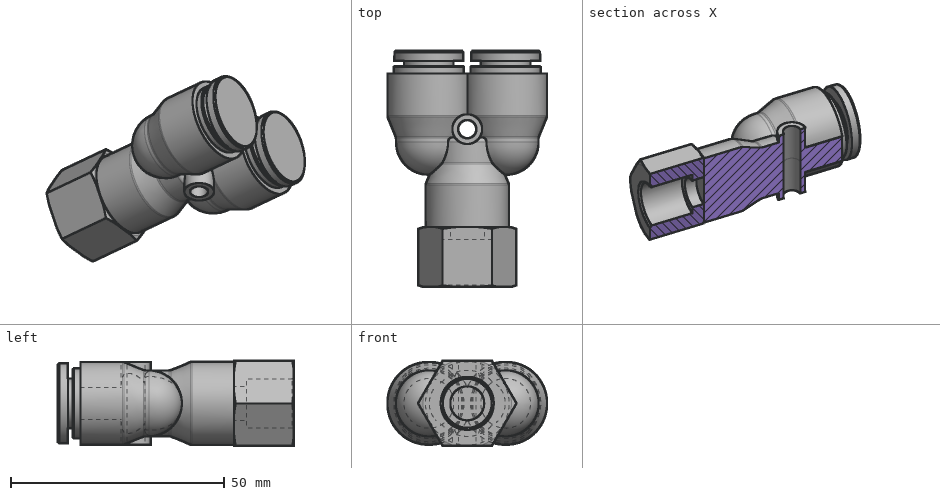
import cadquery as cq
import math

OVERALL_LENGTH = 55.4

OVERALL_WIDTH = 37.5
SOCKET_RADIUS = 19.5 / 2
STEM_RADIUS = 19.6 / 2
WAIST_RADIUS = 7.75
TAPER_LENGTH = 4.95
EDGE_BLEND = 1.0
PORT_OFFSET = OVERALL_WIDTH / 2 - SOCKET_RADIUS
SOCKET_FACE_Y = 50.1
SOCKET_TAPER_Y = 40.0
DOME_CENTRE_Y = 34.0
STEM_TAPER_Y = 24.1
STEM_END_Y = 35.0

EYE_Y = 37.0
EYE_DIAMETER = 7.0
EYE_HOLE_DIAMETER = 4.2

NUT_ACROSS_FLATS = 20.0
NUT_LENGTH = 14.0
NUT_FACE_RADIUS = 10.35
NUT_CHAMFER_DEPTH = 0.4
BORE_DIAMETER = 11.45
BORE_DEPTH = 11.1
BORE_CHAMFER = 0.5
PASSAGE_DIAMETER = 8.0

COLLAR_DIAMETER = 16.5
COLLAR_LENGTH = 1.8
COLLAR_CHAMFER = 0.35

NECK_DIAMETER = 11.7
FLANGE_WIDTH = 16.25
FLANGE_HEIGHT = 18.85
FLANGE_THICKNESS = 2.4
FLANGE_CHAMFER = 0.4

COLLAR_END_Y = SOCKET_FACE_Y + COLLAR_LENGTH
FLANGE_START_Y = OVERALL_LENGTH - FLANGE_THICKNESS


def plane_at(y, x=0):
    """Workplane at position y whose normal is +Y, with local y along +Z."""
    return cq.Workplane(cq.Plane(origin=(x, y, 0), xDir=(-1, 0, 0), normal=(0, 1, 0)))


def cylinder(diameter, start_y, end_y, x=0):
    return plane_at(start_y, x).circle(diameter / 2).extrude(end_y - start_y)


def spin(profile):
    """Revolve a closed XY profile about the Y axis."""
    return profile.close().revolve(360, (0, 0, 0), (0, 1, 0))


def blend_rim(solid, y):
    """Round the circular edge centred on the Y axis at position y."""
    margin = 0.05
    low = (-margin, y - margin, -margin)
    high = (margin, y + margin, margin)
    return solid.edges(cq.selectors.BoxSelector(low, high)).fillet(EDGE_BLEND)


def make_socket(x):
    """Tube socket: cylinder, taper to the waist, then a hemispherical end."""
    waist_y = SOCKET_TAPER_Y - TAPER_LENGTH
    dome_mid = WAIST_RADIUS * math.sqrt(0.5)
    socket = spin(
        cq.Workplane("XY")
        .moveTo(0, SOCKET_FACE_Y)
        .lineTo(SOCKET_RADIUS, SOCKET_FACE_Y)
        .lineTo(SOCKET_RADIUS, SOCKET_TAPER_Y)
        .lineTo(WAIST_RADIUS, waist_y)
        .lineTo(WAIST_RADIUS, DOME_CENTRE_Y)
        .threePointArc((dome_mid, DOME_CENTRE_Y - dome_mid), (0, DOME_CENTRE_Y - WAIST_RADIUS))
    )
    socket = blend_rim(socket, SOCKET_TAPER_Y)
    socket = blend_rim(socket, waist_y)
    return socket.translate((x, 0, 0))


def make_stem():
    """Stem: cylinder rising from the nut, then a taper to the waist and a rounded end."""
    waist_y = STEM_TAPER_Y + TAPER_LENGTH
    stem = spin(
        cq.Workplane("XY")
        .moveTo(0, NUT_LENGTH)
        .lineTo(STEM_RADIUS, NUT_LENGTH)
        .lineTo(STEM_RADIUS, STEM_TAPER_Y)
        .lineTo(WAIST_RADIUS, waist_y)
        .lineTo(WAIST_RADIUS, STEM_END_Y)
        .lineTo(0, STEM_END_Y)
    )
    stem = blend_rim(stem, STEM_TAPER_Y)
    stem = blend_rim(stem, waist_y)
    return blend_rim(stem, STEM_END_Y)


def make_body():
    body = make_stem()
    for side in (-1, 1):
        body = body.union(make_socket(side * PORT_OFFSET))
    eye_plane = cq.Workplane("XY").center(0, EYE_Y)
    eye = eye_plane.circle(EYE_DIAMETER / 2).extrude(SOCKET_RADIUS, both=True)
    eye_hole = eye_plane.circle(EYE_HOLE_DIAMETER / 2).extrude(SOCKET_RADIUS, both=True)
    return body.union(eye).cut(eye_hole)


def make_nut():
    corner_radius = NUT_ACROSS_FLATS / math.sqrt(3)
    hexagon = plane_at(0).polygon(6, 2 * corner_radius).extrude(NUT_LENGTH)
    chamfer_envelope = spin(
        cq.Workplane("XY")
        .lineTo(NUT_FACE_RADIUS, 0)
        .lineTo(corner_radius, NUT_CHAMFER_DEPTH)
        .lineTo(corner_radius, NUT_LENGTH - NUT_CHAMFER_DEPTH)
        .lineTo(NUT_FACE_RADIUS, NUT_LENGTH)
        .lineTo(0, NUT_LENGTH)
    )
    bore_radius = BORE_DIAMETER / 2
    passage_radius = PASSAGE_DIAMETER / 2
    bore = spin(
        cq.Workplane("XY")
        .lineTo(bore_radius + BORE_CHAMFER, 0)
        .lineTo(bore_radius, BORE_CHAMFER)
        .lineTo(bore_radius, BORE_DEPTH)
        .lineTo(passage_radius, BORE_DEPTH)
        .lineTo(passage_radius, NUT_LENGTH)
        .lineTo(0, NUT_LENGTH)
    )
    return hexagon.intersect(chamfer_envelope).cut(bore)


def make_collar(x):
    collar = cylinder(COLLAR_DIAMETER, SOCKET_FACE_Y, COLLAR_END_Y, x)
    return collar.faces(">Y").edges().chamfer(COLLAR_CHAMFER)


def make_release_button(x):
    outline = plane_at(FLANGE_START_Y, x).ellipse(FLANGE_WIDTH / 2, FLANGE_HEIGHT / 2)
    flange = outline.extrude(FLANGE_THICKNESS)
    flange = flange.faces(">Y").edges().chamfer(FLANGE_CHAMFER)
    neck = cylinder(NECK_DIAMETER, COLLAR_END_Y, FLANGE_START_Y, x)
    return flange.union(neck)


body = make_body().solids().val()
nut = make_nut().solids().val()
collars = []
release_buttons = []
for side in (-1, 1):
    collars.append(make_collar(side * PORT_OFFSET).solids().val())
    release_buttons.append(make_release_button(side * PORT_OFFSET).solids().val())

result = cq.Compound.makeCompound([body, nut, *collars, *release_buttons])